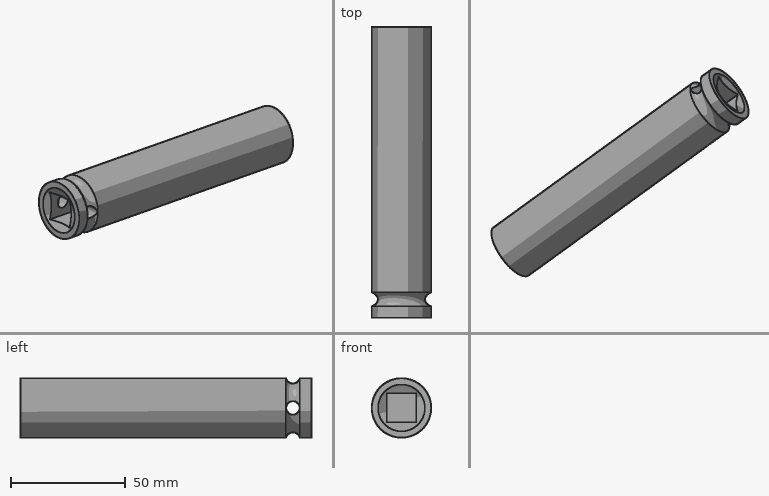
import cadquery as cq
import math

length = 127.0
outer_diameter = 26.0
outer_radius = outer_diameter / 2
drive_end_y = -length / 2

groove_offset = 8.1
groove_width = 6.1
groove_depth = 2.3
pin_hole_diameter = 5.8

square_side = 12.7
square_depth = 16.0
mouth_diameter = 20.5
lead_in_angle = 70.0

groove_y = drive_end_y + groove_offset


def make_barrel():
    """Revolve the half section, including the round-bottomed groove."""
    groove_start = groove_y - groove_width / 2
    groove_end = groove_y + groove_width / 2
    return (
        cq.Workplane("XY")
        .moveTo(0, drive_end_y)
        .lineTo(outer_radius, drive_end_y)
        .lineTo(outer_radius, groove_start)
        .threePointArc((outer_radius - groove_depth, groove_y), (outer_radius, groove_end))
        .lineTo(outer_radius, drive_end_y + length)
        .lineTo(0, drive_end_y + length)
        .close()
        .revolve(360, (0, 0, 0), (0, 1, 0))
    )


def make_pin_hole():
    """Cylinder along X, right through the barrel at the groove centre."""
    return (
        cq.Workplane("YZ")
        .center(groove_y, 0)
        .circle(pin_hole_diameter / 2)
        .extrude(outer_radius, both=True)
    )


def make_drive_socket():
    """Blind square hole joined to the cone that widens its mouth."""
    square = cq.Workplane("XY").box(square_side, square_depth, square_side)
    square = square.translate((0, drive_end_y + square_depth / 2, 0))
    mouth_radius = mouth_diameter / 2
    cone_height = mouth_radius / math.tan(math.radians(lead_in_angle))
    cone = cq.Solid.makeCone(
        mouth_radius, 0, cone_height, cq.Vector(0, drive_end_y, 0), cq.Vector(0, 1, 0)
    )
    return square.union(cq.Workplane(obj=cone))


result = make_barrel().cut(make_pin_hole()).cut(make_drive_socket())